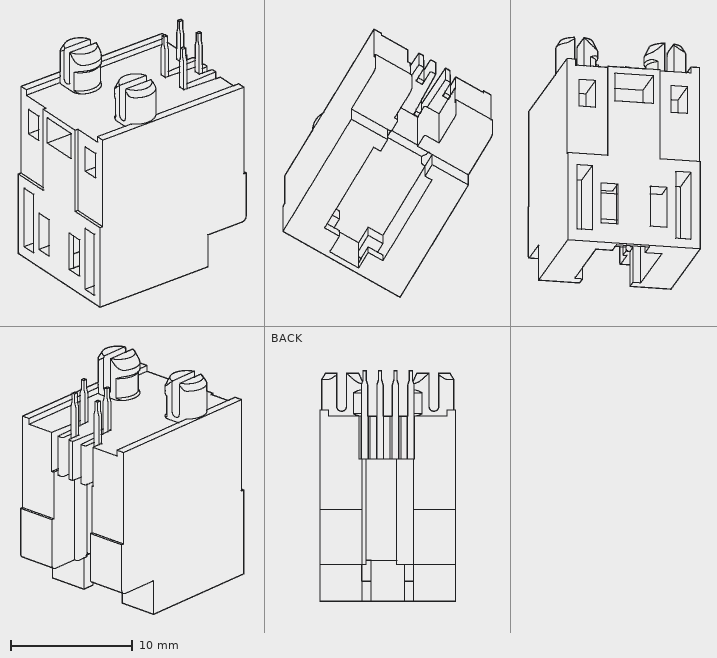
import cadquery as cq


width = 11.18
depth = 15.08
half_width = width / 2
roof_z = 15.25
rail_top_z = 15.77
rail_width = 0.73

step_y = 11.15
shelf_z = 3.03
shelf_corner_radius = 0.45

corner_recess_z = 7.55
front_recess = 0.28
rear_recess = 0.23
front_panel_half_width = 2.19

pocket_depth = 4.0
center_window_half_width = 1.63
center_window_z = (12.30, 14.69)
upper_window_x = (3.18, 4.58)
upper_window_z = (11.73, 14.04)
tall_window_x = (3.53, 4.80)
tall_window_top_z = 6.56
tall_window_bottom_z = {-1: 1.01, 1: 0.78}
latch_slot_x = (1.38, 2.78)
latch_slot_z = (1.67, 5.12)

front_wall = 0.45
cavity_half_width = latch_slot_x[1]
ledge_rear_y = 2.0
cavity_rear_y = 10.0
cavity_top_z = 7.55
passage_half_width = 2.12
groove_half_width = 1.78
groove_mouth_z = 5.3
groove_nose_y = 10.75
groove_nose_z = 3.68
groove_exit_z = 3.38
groove_edge_radius = 0.3

comb_bottom_z = 11.74
post_rear_y = 12.29
post_corner_radius = 0.15
left_post_inner_x = -0.74

pin_count = 4
pin_pitch = 1.27
pin_width = 0.54
pin_thickness = 0.33
pin_tip_width = 0.27
pin_top_z = 19.0
pin_shoulder_z = 17.8
pin_tip_z = 18.25
pin_slot_width = 0.60
rear_row_y = 13.76
front_row_y = 11.20
slot_flare = 0.16
finger_corner_radius = 0.15

peg_x = 3.80
peg_y = 5.04
peg_top_z = 18.80
peg_thickness = 2.75
peg_radius = 1.65
peg_corner_radius = 0.6
peg_tip_radius = 1.33
peg_chamfer_z = 18.27
hook_radius = 1.82
hook_corner_radius = 0.95
hook_tip_radius = 1.41
hook_upper_z = 17.95
hook_lower_z = 17.40
neck_radius = 1.66
neck_top_z = 17.17
flare_radius = 1.82
flare_height = 0.2
peg_slot_width = 0.78
peg_slot_bottom_z = 15.67
peg_slot_corner_radius = 0.36


def block(x, y, z):
    """Box given by its (low, high) limits along each axis."""
    size = (x[1] - x[0], y[1] - y[0], z[1] - z[0])
    return cq.Workplane("XY").box(*size, centered=False).translate((x[0], y[0], z[0]))


def mirrored_span(span, side):
    """X limits on the chosen side of the middle plane."""
    return tuple(sorted(side * x for x in span))


def housing_blank():
    """Stepped block with rounded shelf corner, side rails and recessed upper corners."""
    body = (
        cq.Workplane("YZ")
        .moveTo(0, 0)
        .lineTo(step_y, 0)
        .lineTo(step_y, shelf_z)
        .lineTo(depth - shelf_corner_radius, shelf_z)
        .radiusArc((depth, shelf_z + shelf_corner_radius), -shelf_corner_radius)
        .lineTo(depth, rail_top_z)
        .lineTo(0, rail_top_z)
        .close()
        .extrude(half_width, both=True)
    )
    rail_inner_x = half_width - rail_width
    body = body.cut(block((-rail_inner_x, rail_inner_x), (0, depth), (roof_z, rail_top_z)))
    recess_z = (corner_recess_z, rail_top_z)
    for side in (-1, 1):
        recess_x = mirrored_span((front_panel_half_width, half_width), side)
        body = body.cut(block(recess_x, (0, front_recess), recess_z))
        body = body.cut(block(recess_x, (depth - rear_recess, depth), recess_z))
    opening_x = (-front_panel_half_width, front_panel_half_width)
    opening_z = (corner_recess_z, comb_bottom_z)
    body = body.cut(block(opening_x, (depth - rear_recess, depth), opening_z))
    return body


def front_windows():
    """Blind pockets in the front face and the two slots that open into the plug cavity."""
    pocket_y = (0, pocket_depth)
    center_x = (-center_window_half_width, center_window_half_width)
    windows = [block(center_x, pocket_y, center_window_z)]
    for side in (-1, 1):
        tall_z = (tall_window_bottom_z[side], tall_window_top_z)
        windows.append(block(mirrored_span(upper_window_x, side), pocket_y, upper_window_z))
        windows.append(block(mirrored_span(tall_window_x, side), pocket_y, tall_z))
        windows.append(block(mirrored_span(latch_slot_x, side), (0, ledge_rear_y), latch_slot_z))
    return windows


def plug_cavity():
    """Opening from below, its passage into the rear step and the sloped groove above it."""
    tab_half_width = latch_slot_x[0]
    cavity = block(
        (-cavity_half_width, cavity_half_width), (ledge_rear_y, cavity_rear_y), (0, cavity_top_z)
    )
    tab_way = block((-tab_half_width, tab_half_width), (front_wall, ledge_rear_y), (0, cavity_top_z))
    passage = block(
        (-passage_half_width, passage_half_width), (cavity_rear_y, step_y), (0, shelf_z)
    )
    groove = (
        cq.Workplane("YZ")
        .moveTo(cavity_rear_y, shelf_z)
        .lineTo(cavity_rear_y, groove_mouth_z)
        .lineTo(groove_nose_y, groove_nose_z)
        .radiusArc((step_y, groove_exit_z), -(step_y - groove_nose_y))
        .lineTo(step_y, shelf_z)
        .close()
        .extrude(groove_half_width, both=True)
    )
    cavity = cavity.union(tab_way).union(passage).union(groove)
    for side in (-1, 1):
        edge_x = side * groove_half_width
        rounding = (
            cq.Workplane("XZ", origin=(0, step_y, 0))
            .moveTo(edge_x, shelf_z)
            .lineTo(edge_x + side * groove_edge_radius, shelf_z)
            .radiusArc((edge_x, shelf_z + groove_edge_radius), side * groove_edge_radius)
            .close()
            .extrude(step_y - cavity_rear_y)
        )
        cavity = cavity.union(rounding)
    return cavity


def rear_opening():
    """Opening under the comb fingers, leaving one guide post at each side."""
    opening_z = (shelf_z, comb_bottom_z)
    opening = block((-passage_half_width, passage_half_width), (step_y, depth), opening_z)
    posts = (
        ((-passage_half_width, left_post_inner_x), ">X and >Y"),
        ((groove_half_width, passage_half_width), "<X and >Y"),
    )
    for post_x, inner_corner in posts:
        post = block(post_x, (step_y, post_rear_y), opening_z)
        post = post.edges("|Z").edges(inner_corner).fillet(post_corner_radius)
        opening = opening.cut(post)
    return opening


def pin_positions():
    """(x, y of the front face, whether the slot is flared) for the staggered pins."""
    positions = []
    for index in range(pin_count):
        x = (index - (pin_count - 1) / 2) * pin_pitch
        in_front_row = index % 2 == 1
        positions.append((x, front_row_y if in_front_row else rear_row_y, in_front_row))
    return positions


def pin_slot(x, y, flared):
    """Slot from the pin to the rear face; deep slots widen rearwards, short ones are straight."""
    half = pin_slot_width / 2
    rear_half = half + slot_flare if flared else half
    return (
        cq.Workplane("XY", origin=(0, 0, comb_bottom_z))
        .polyline([(x - half, y), (x + half, y), (x + rear_half, depth), (x - rear_half, depth)])
        .close()
        .extrude(roof_z - comb_bottom_z)
    )


def finger_sides(x):
    """Sides of a slot that carry a comb finger; the leftmost slot has the solid wall on its left."""
    is_leftmost = x == min(position[0] for position in pin_positions())
    return (1,) if is_leftmost else (-1, 1)


def finger_corner(x, side):
    """Sliver that rounds a finger end beside a straight slot."""
    edge_x = x + side * pin_slot_width / 2
    return (
        cq.Workplane("XY", origin=(0, 0, comb_bottom_z))
        .moveTo(edge_x, depth)
        .lineTo(edge_x + side * finger_corner_radius, depth)
        .radiusArc((edge_x, depth - finger_corner_radius), -side * finger_corner_radius)
        .close()
        .extrude(roof_z - comb_bottom_z)
    )


def half_peg(profile, radius, corner_radius, side):
    """Half of a turned peg on one side of X = 0, flattened front and rear with rounded corners."""
    turned = cq.Workplane("XZ").polyline(profile).close().revolve(360, (0, 0, 0), (0, 1, 0))
    flat_y = peg_thickness / 2
    flat_span = (-flat_y, flat_y)
    plan = cq.Workplane("XY").circle(radius).extrude(peg_top_z)
    plan = plan.intersect(block((-radius, radius), flat_span, (0, peg_top_z)))
    plan = plan.faces("<Y or >Y").edges("|Z").fillet(corner_radius)
    half = block(mirrored_span((0, radius), side), flat_span, (0, peg_top_z))
    return turned.intersect(plan).intersect(half)


def snap_peg(side):
    """Split peg on the given side of the housing, with its hook toward the middle plane."""
    plain_profile = [
        (0, roof_z),
        (peg_radius, roof_z),
        (peg_radius, peg_chamfer_z),
        (peg_tip_radius, peg_top_z),
        (0, peg_top_z),
    ]
    hook_profile = [
        (0, roof_z),
        (flare_radius, roof_z),
        (neck_radius, roof_z + flare_height),
        (neck_radius, neck_top_z),
        (hook_radius, hook_lower_z),
        (hook_radius, hook_upper_z),
        (hook_tip_radius, peg_top_z),
        (0, peg_top_z),
    ]
    plain_half = half_peg(plain_profile, peg_radius, peg_corner_radius, side)
    hook_half = half_peg(hook_profile, hook_radius, hook_corner_radius, -side)
    return plain_half.union(hook_half).translate((side * peg_x, peg_y, 0))


def peg_slot(side):
    """Slot with rounded bottom corners that splits a peg along Y."""
    half = peg_slot_width / 2
    slot = block((-half, half), (-peg_thickness, peg_thickness), (peg_slot_bottom_z, pin_top_z))
    slot = slot.edges("|Y and <Z").fillet(peg_slot_corner_radius)
    return slot.translate((side * peg_x, peg_y, 0))


def make_housing():
    """Housing with its windows, plug cavity, pin comb and split pegs."""
    body = housing_blank()
    for window in front_windows():
        body = body.cut(window)
    body = body.cut(plug_cavity()).cut(rear_opening())
    for x, y, flared in pin_positions():
        body = body.cut(pin_slot(x, y, flared))
        if not flared:
            for side in finger_sides(x):
                body = body.cut(finger_corner(x, side))
    for side in (-1, 1):
        body = body.union(snap_peg(side)).cut(peg_slot(side))
    return body


def make_pin(x, y):
    """Flat pin with a narrowed tip, standing against the front end of its slot."""
    half = pin_width / 2
    tip_half = pin_tip_width / 2
    outline = [
        (-half, comb_bottom_z),
        (half, comb_bottom_z),
        (half, pin_shoulder_z),
        (tip_half, pin_tip_z),
        (tip_half, pin_top_z),
        (-tip_half, pin_top_z),
        (-tip_half, pin_tip_z),
        (-half, pin_shoulder_z),
    ]
    return cq.Workplane("XZ").polyline(outline).close().extrude(-pin_thickness).translate((x, y, 0))


housing = make_housing()
pins = [make_pin(x, y) for x, y, _ in pin_positions()]

result = cq.Compound.makeCompound([housing.val(), *[pin.val() for pin in pins]])